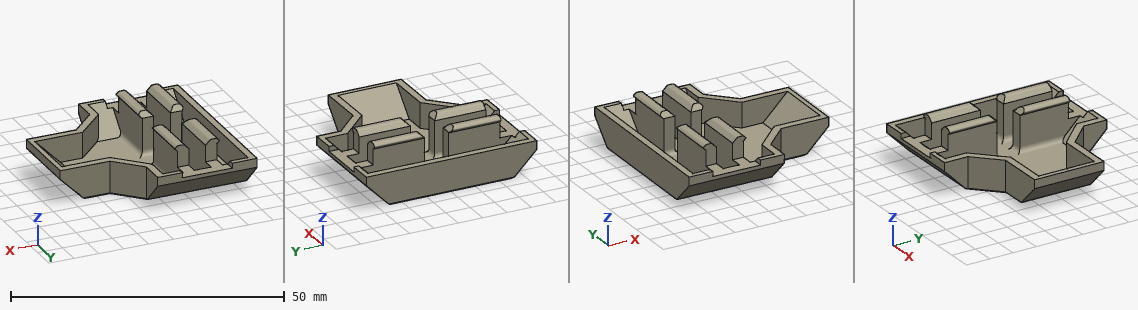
import cadquery as cq
import math

length = 35.0
width = 35.0
shell_height = 6.7
body_length = 20.0
shoulder = 5.0
spout_inset = 2 * shoulder
rim_height = 1.8
floor_thickness = 1.5
bottom_chamfer = 0.3

back_wall = 1.4
end_wall = 1.0
side_wall = 1.5

notch_start = 5.0
notch_width = 10.0
notch_depth = 1.0
platform_depth = end_wall + notch_depth

total_height = 10.0
clip_thickness = 2.28
clip_inset = 1.05
clip_start = 4.5
clip_length = 10.5
clip_chamfer = 1.0
hook_reach = 0.55
hook_top_radius = 0.75
hook_tip_radius = 0.18
foot_radius = 1.0

platform_top = shell_height - notch_depth
clip_end = clip_start + clip_length
clip_middle = notch_start + notch_width / 2
clip_outer = notch_width / 2 - clip_inset
clip_inner = clip_outer - clip_thickness


def mirror_across_width(shape):
    return shape.mirror("XZ", (0, width / 2, 0))


def half_to_full_plan(half_points):
    """Complete a plan outline given from its -X, -Y corner to its +X end."""
    mirrored = [(x, width - y) for x, y in reversed(half_points)]
    return half_points + mirrored


def plan_prism(plan, base):
    prism = cq.Workplane("XY", origin=(0, 0, base)).polyline(plan).close()
    return prism.extrude(shell_height - base)


def sloped_envelope(base, slope_top, end_gap):
    """Tall block whose Y ends and +X end lean in at 45 degrees below the slope top."""
    block = cq.Workplane("XY").box(
        length - end_gap, width - 2 * end_gap, total_height - base, centered=False
    )
    block = block.faces("<Z").edges("|X or >X").chamfer(slope_top - base)
    return block.translate((0, end_gap, base))


def make_shell():
    outer_plan = half_to_full_plan([
        (0, 0),
        (body_length, 0),
        (body_length, shoulder),
        (body_length + shoulder, spout_inset),
        (length, spout_inset),
    ])
    corner_shift = side_wall * math.tan(math.radians(22.5))
    inner_plan = half_to_full_plan([
        (back_wall, end_wall),
        (body_length - side_wall, end_wall),
        (body_length - side_wall, shoulder + corner_shift),
        (body_length + shoulder - corner_shift, spout_inset + side_wall),
        (length - end_wall, spout_inset + side_wall),
    ])
    chamfer_band = cq.Workplane("XY", origin=(0, 0, bottom_chamfer)).polyline(outer_plan).close()
    chamfer_band = chamfer_band.extrude(-bottom_chamfer, taper=45)
    chamfered_plan = plan_prism(outer_plan, bottom_chamfer).union(chamfer_band)
    envelope = sloped_envelope(0, shell_height - rim_height, 0).faces("<Z").edges().chamfer(bottom_chamfer)
    hull = chamfered_plan.intersect(envelope)
    pocket_envelope = sloped_envelope(floor_thickness, shell_height, end_wall)
    pocket = plan_prism(inner_plan, floor_thickness).intersect(pocket_envelope)
    return hull, pocket


def make_notch():
    return cq.Workplane("XY").box(
        notch_width, platform_depth, notch_depth, centered=False
    ).translate((notch_start, 0, platform_top))


def make_platform():
    """Ledge below the notch, with one rib running to each clip."""
    rise = platform_top - floor_thickness
    ledge = cq.Workplane("XY").box(notch_width, platform_depth, rise, centered=False)
    ledge = ledge.translate((notch_start, 0, floor_thickness))
    for rib_start in (clip_middle - clip_outer, clip_middle + clip_inner):
        rib = cq.Workplane("XY").box(clip_thickness, clip_start - platform_depth, rise, centered=False)
        ledge = ledge.union(rib.translate((rib_start, platform_depth, floor_thickness)))
    return ledge


def make_clip_blade():
    """Hooked blade of the +X, -Y clip, with its inner end chamfered."""
    inner = clip_middle + clip_inner
    outer = clip_middle + clip_outer
    tip_height = total_height - hook_reach
    blade = (
        cq.Workplane("XZ", origin=(0, clip_start, 0))
        .polyline([
            (inner, floor_thickness),
            (outer, floor_thickness),
            (outer, tip_height - hook_reach),
            (outer + hook_reach, tip_height),
            (outer, total_height),
            (inner + clip_chamfer, total_height),
            (inner, total_height - clip_chamfer),
        ])
        .close()
        .extrude(-clip_length)
    )
    blade = blade.edges("|Y and >X").fillet(hook_tip_radius)
    blade = blade.faces(">Z").edges("|Y").fillet(hook_top_radius)
    end_cut = (
        cq.Workplane("YZ", origin=(inner, 0, 0))
        .polyline([
            (clip_end, total_height),
            (clip_end - clip_chamfer, total_height),
            (clip_end, total_height - clip_chamfer),
        ])
        .close()
        .extrude(clip_thickness + hook_reach)
    )
    return blade.cut(end_cut)


def make_clip_foot(inner_flare):
    """Concave flare where the +X, -Y clip meets the floor; its inner side may be left square."""
    inner = clip_middle + clip_inner
    outer = clip_middle + clip_outer
    flare_top = floor_thickness + foot_radius
    sag = foot_radius * (1 - math.sqrt(0.5))
    across = (
        cq.Workplane("XZ", origin=(0, clip_start, 0))
        .moveTo(inner, flare_top)
        .lineTo(outer, flare_top)
        .threePointArc((outer + sag, floor_thickness + sag), (outer + foot_radius, floor_thickness))
    )
    if inner_flare:
        across = across.lineTo(inner - foot_radius, floor_thickness).threePointArc(
            (inner - sag, floor_thickness + sag), (inner, flare_top)
        )
    else:
        across = across.lineTo(inner, floor_thickness)
    across = across.close().extrude(-clip_length - foot_radius)
    along = (
        cq.Workplane("YZ", origin=(inner - foot_radius, 0, 0))
        .moveTo(clip_start, floor_thickness)
        .lineTo(clip_start, flare_top)
        .lineTo(clip_end, flare_top)
        .threePointArc((clip_end + sag, floor_thickness + sag), (clip_end + foot_radius, floor_thickness))
        .close()
        .extrude(clip_thickness + 2 * foot_radius)
    )
    return across.intersect(along)


def make_clip(inner_flare=True):
    return make_clip_blade().union(make_clip_foot(inner_flare))


def mirror_across_clips(shape):
    return shape.mirror("YZ", (clip_middle, 0, 0))


hull, pocket = make_shell()
notch = make_notch()
platform = make_platform().intersect(hull)
full_clip = make_clip()
left_clip = mirror_across_clips(full_clip)
one_sided_clip = make_clip(inner_flare=False)

near_fittings = platform.union(full_clip).union(left_clip)
far_fittings = mirror_across_width(platform.union(one_sided_clip).union(left_clip))

result = (
    hull.cut(pocket)
    .cut(notch)
    .cut(mirror_across_width(notch))
    .union(near_fittings)
    .union(far_fittings)
)